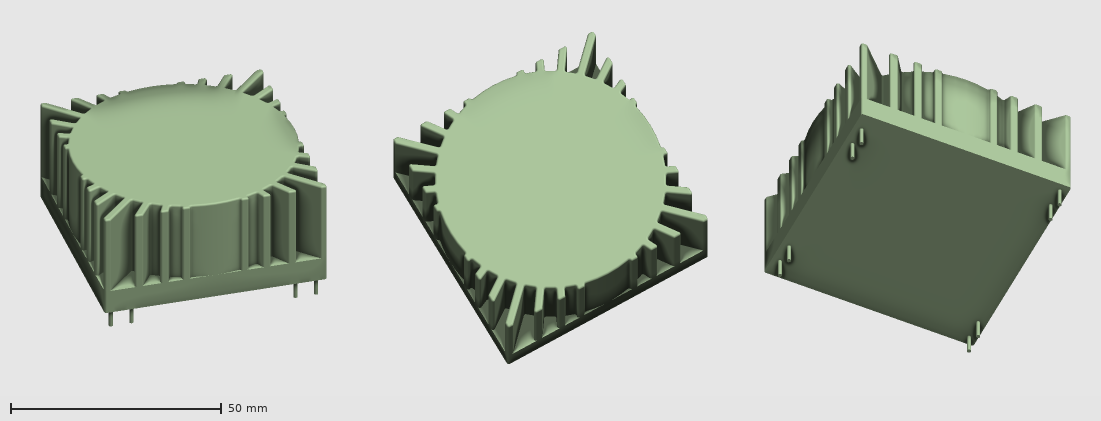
import cadquery as cq

side = 55.0
base_height = 6.0
drum_height = 20.0
drum_radius = side / 2
edge_radius = 0.5

rib_width = 2.0
rib_pitch_angle = 10
ribs_per_corner = 7
fan_half_angle = rib_pitch_angle * (ribs_per_corner - 1) / 2
corner_angles = (45, 135, 225, 315)

pin_diameter = 1.0
pin_length = 5.0
outer_pin_offset = 25.4
grid_steps = 20
pin_pitch = 2 * outer_pin_offset / grid_steps
pin_rows = {-1: (1, 3), 1: (0, 2)}


def make_ribs():
    """Sharp-edged ribs running out from the axis, trimmed to the square footprint."""
    footprint = cq.Workplane("XY").rect(side, side).extrude(drum_height)
    ribs = cq.Workplane("XY")
    for corner_angle in corner_angles:
        for index in range(ribs_per_corner):
            angle = corner_angle - fan_half_angle + index * rib_pitch_angle
            rib = (
                cq.Workplane("XY")
                .rect(side, rib_width)
                .extrude(drum_height)
                .translate((side / 2, 0, 0))
                .rotate((0, 0, 0), (0, 0, 1), angle)
            )
            ribs = ribs.union(rib)
    return ribs.intersect(footprint)


def round_corners(outline):
    """Round a flat outline: offset in and out for outer corners, then out and in for inner ones."""
    for offset in (-edge_radius, edge_radius, edge_radius, -edge_radius):
        outline = outline.offset2D(offset, "arc")[0]
    return outline


def make_ribbed_drum():
    """Drum and ribs as one block standing on Z = 0, with rounded corners and a rounded top rim."""
    sharp_drum = cq.Workplane("XY").circle(drum_radius).extrude(drum_height).union(make_ribs()).clean()
    outline = round_corners(sharp_drum.faces("<Z").val().outerWire())
    drum = cq.Workplane("XY").add(outline).toPending().extrude(drum_height)
    return drum.faces(">Z").edges().fillet(edge_radius)


def make_housing():
    """Base with its underside on Z = 0 and the ribbed drum on top of it."""
    base = cq.Workplane("XY").rect(side, side).extrude(base_height).edges("|Z").fillet(edge_radius)
    return base.union(make_ribbed_drum().translate((0, 0, base_height)), clean=False)


def make_pins():
    """Round pins hanging below the underside of the base, mirrored about the X axis."""
    pins = []
    for x_sign, steps in pin_rows.items():
        for y_sign in (-1, 1):
            for step in steps:
                y = y_sign * (outer_pin_offset - step * pin_pitch)
                pin = (
                    cq.Workplane("XY", origin=(x_sign * outer_pin_offset, y, -pin_length))
                    .circle(pin_diameter / 2)
                    .extrude(pin_length)
                )
                pins.append(pin.val())
    return pins


housing = make_housing()
result = cq.Compound.makeCompound([housing.val(), *make_pins()])